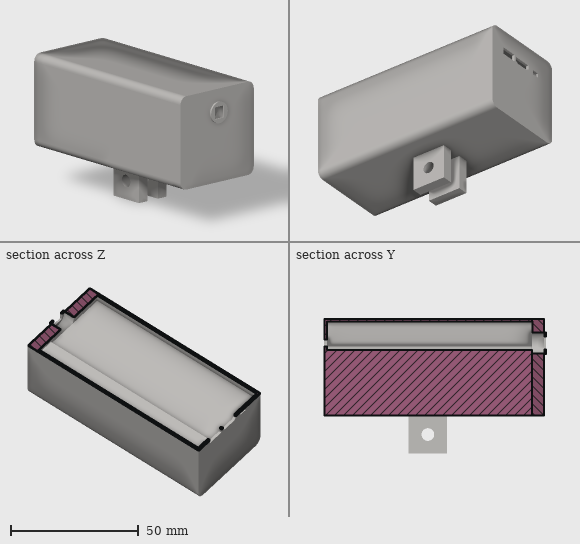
import cadquery as cq

total_length = 87.0
body_width = 38.4
total_height = 52.9
prong_length = 15.0
boss_height = 0.8
cap_thickness = 4.8
edge_radius = 3.05
body_height = total_height - prong_length
housing_length = total_length - boss_height - cap_thickness

wall = 1.1
port_floor_z = 27.15
ledge_drop = 0.2
ledge_height = 1.1
ledge_edge_y = 10.6

side_port_offset = 8.5
usb_a_width = 7.05
usb_a_height = 3.0
usb_c_width = 7.7
usb_c_height = 2.5
usb_c_chamfer_width = 1.05
usb_c_chamfer_height = 0.8
small_port_width = 3.0
small_port_height = 1.9

prong_width = 15.05
prong_thickness = 4.5
prong_offset = 5.0
prong_hole_diameter = 5.0

boss_diameter = 8.7
socket_diameter = 8.2
socket_opening = 5.0
socket_y = 0.5
socket_z = port_floor_z + usb_c_height / 2


def box_between(x_range, y_range, z_range):
    """Axis-aligned box given by its limits along each axis."""
    lows, highs = zip(x_range, y_range, z_range)
    sizes = [high - low for low, high in zip(lows, highs)]
    return cq.Workplane("XY").box(*sizes, centered=False).translate(lows)


def rounded_bar(start_x, length):
    """Bar along X with the outer section and rounded long edges."""
    bar = box_between(
        (start_x, start_x + length),
        (-body_width / 2, body_width / 2),
        (0, body_height),
    )
    return bar.edges("|X").fillet(edge_radius)


def make_cavity():
    """Main space inside the housing, with a raised ledge along its +Y side."""
    side_y = body_width / 2 - wall
    x_range = (wall, housing_length)
    ceiling_z = body_height - wall
    ledge_z = port_floor_z - ledge_drop
    upper_space = box_between(x_range, (-side_y, side_y), (ledge_z, ceiling_z))
    upper_space = upper_space.edges("|X and >Z").fillet(edge_radius - wall)
    trough_z = ledge_z - ledge_height
    trough = box_between(x_range, (-side_y, ledge_edge_y), (trough_z, ledge_z))
    return upper_space.union(trough)


def make_port(center_y, width, height):
    """Rectangular port opening through the front wall."""
    return box_between(
        (0, wall),
        (center_y - width / 2, center_y + width / 2),
        (port_floor_z, port_floor_z + height),
    )


def make_usb_c_port():
    """Central port opening whose two lower corners are cut off at a slant."""
    half_width = usb_c_width / 2
    half_floor = half_width - usb_c_chamfer_width
    outline = [
        (-half_floor, 0),
        (half_floor, 0),
        (half_width, usb_c_chamfer_height),
        (half_width, usb_c_height),
        (-half_width, usb_c_height),
        (-half_width, usb_c_chamfer_height),
    ]
    port_plane = cq.Workplane("YZ", origin=(0, 0, port_floor_z))
    return port_plane.polyline(outline).close().extrude(wall)


def make_prong(center_y):
    """Flat prong below the housing with a cross hole in its middle."""
    center_x = housing_length / 2
    prong = box_between(
        (center_x - prong_width / 2, center_x + prong_width / 2),
        (center_y - prong_thickness / 2, center_y + prong_thickness / 2),
        (-prong_length, 0),
    )
    return prong.faces("<Y").workplane(centerOption="CenterOfMass").hole(prong_hole_diameter)


def make_housing():
    """Hollow housing with its three ports and two prongs."""
    housing = (
        rounded_bar(0, housing_length)
        .cut(make_cavity())
        .cut(make_port(side_port_offset, usb_a_width, usb_a_height))
        .cut(make_usb_c_port())
        .cut(make_port(-side_port_offset, small_port_width, small_port_height))
    )
    for center_y in (-prong_offset, prong_offset):
        housing = housing.union(make_prong(center_y))
    return housing


def make_end_cap():
    """Solid end cap with a round boss, a square opening and a round recess inside."""
    cap = rounded_bar(housing_length, cap_thickness)
    socket_plane = cq.Workplane("YZ", origin=(housing_length, socket_y, socket_z))
    boss = socket_plane.circle(boss_diameter / 2).extrude(cap_thickness + boss_height)
    recess = socket_plane.circle(socket_diameter / 2).extrude(cap_thickness)
    opening = socket_plane.rect(socket_opening, socket_opening).extrude(cap_thickness + boss_height)
    return cap.union(boss).cut(recess).cut(opening)


housing = make_housing()
end_cap = make_end_cap()
result = cq.Compound.makeCompound([housing.val(), end_cap.val()])